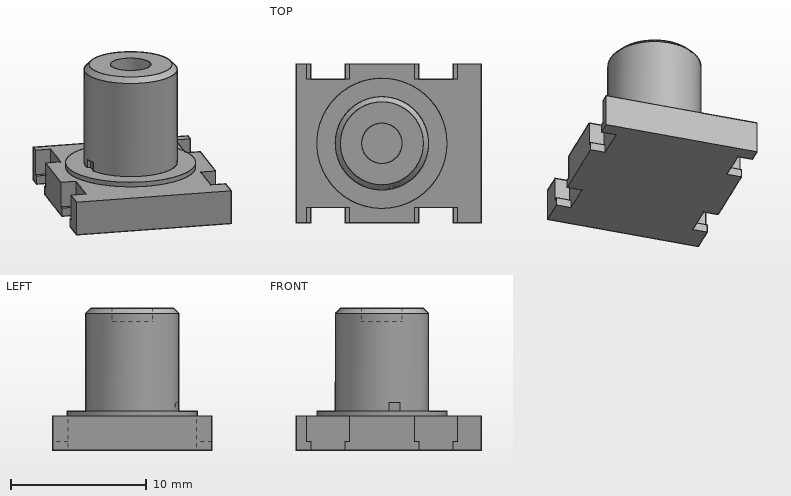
import cadquery as cq

base_length = 13.72
base_width = 11.79
base_height = 2.55

notch_centers = (-4.5, 3.5)
notch_depth = 1.14
notch_width = 3.17
ledge_width = 0.32
ledge_height = 0.65

total_height = 10.54
axis_x = -0.51
flange_diameter = 9.65
flange_height = 0.35
post_diameter = 6.91
post_chamfer = 0.38
bore_diameter = 2.99
bore_depth = 1.0

recess_start = 0.52
recess_width = 0.82
recess_height = 0.63
recess_back = 3.17

flange_top = base_height + flange_height


def disc(diameter, bottom, top):
    """Cylinder on the post axis between two heights."""
    return (
        cq.Workplane("XY", origin=(axis_x, 0, bottom))
        .circle(diameter / 2)
        .extrude(top - bottom)
    )


def edge_notch(center_x, side):
    """Stepped notch open to the edge at Y = side * base_width / 2."""
    cutter_depth = 2 * notch_depth
    origin = (center_x, side * base_width / 2, 0)
    lower = (
        cq.Workplane("XY", origin=origin)
        .rect(notch_width - 2 * ledge_width, cutter_depth)
        .extrude(base_height)
    )
    upper = (
        cq.Workplane("XY", origin=origin)
        .workplane(offset=ledge_height)
        .rect(notch_width, cutter_depth)
        .extrude(base_height - ledge_height)
    )
    return lower.union(upper)


def base_plate():
    plate = cq.Workplane("XY").rect(base_length, base_width).extrude(base_height)
    for center_x in notch_centers:
        for side in (-1, 1):
            plate = plate.cut(edge_notch(center_x, side))
    return plate


def post():
    body = disc(post_diameter, flange_top, total_height).faces(">Z").chamfer(post_chamfer)
    bore = disc(bore_diameter, total_height - bore_depth, total_height)
    recess = cq.Workplane("XY").box(
        recess_width, post_diameter / 2 - recess_back, recess_height, centered=False
    ).translate((axis_x + recess_start, -post_diameter / 2, flange_top))
    return body.cut(bore).cut(recess)


flange = disc(flange_diameter, base_height, flange_top)
result = base_plate().union(flange).union(post())